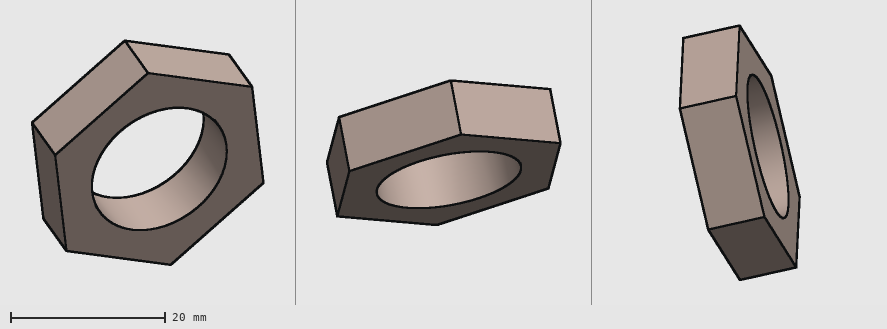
import cadquery as cq
import math

height = 32.1
thickness = 7.6
bore_diameter = 19.05
tilt = 5.7

corner_diameter = height / math.cos(math.radians(tilt))

corner_turn = 90 + tilt

body = (
    cq.Workplane("YZ")
    .polygon(6, corner_diameter)
    .extrude(thickness / 2, both=True)
    .rotate((0, 0, 0), (1, 0, 0), corner_turn)
)

result = body.faces("<X").workplane(origin=(0, 0, 0)).hole(bore_diameter)